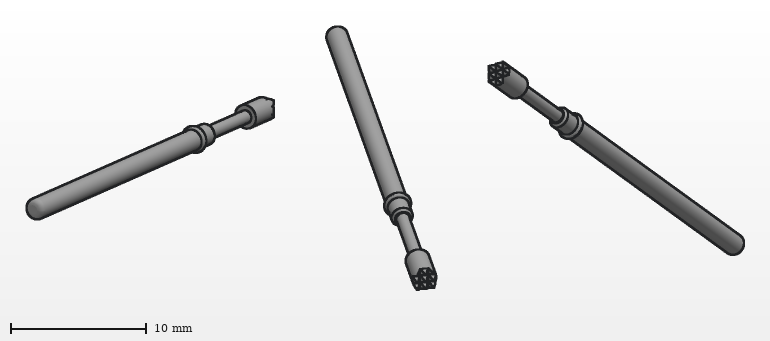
import cadquery as cq

total_length = 32.3

barrel_radius = 0.8
barrel_length = 24.03
barrel_end_rounding = 0.45
shoulder_chamfer = 0.23

ring_radius = 1.017
ring_width = 0.52
ring_center = 22.22

plunger_radius = 0.5
head_radius = 0.9
head_length = 2.97

teeth_per_row = 3
tooth_pitch = 0.6
tooth_depth = 0.55


def rod(radius, start, end):
    """Round rod along Y from start to end."""
    return cq.Workplane("XZ", origin=(0, start, 0)).circle(radius).extrude(start - end)


def make_barrel():
    """Barrel with a rounded closed end and a chamfered mouth."""
    barrel = rod(barrel_radius, 0, barrel_length)
    barrel = barrel.faces("<Y").edges().fillet(barrel_end_rounding)
    return barrel.faces(">Y").edges().chamfer(shoulder_chamfer)


def make_press_ring():
    """Torus with a circular section, sunk into the barrel so that a rounded bead stands out."""
    bead_radius = ring_width / 2
    return (
        cq.Workplane("YZ")
        .center(ring_center, ring_radius - bead_radius)
        .circle(bead_radius)
        .revolve(360, (0, bead_radius - ring_radius), (1, bead_radius - ring_radius))
    )


def make_plunger():
    """Plunger shaft rising from the barrel mouth, with the head on its end."""
    head_start = total_length - head_length
    shaft = rod(plunger_radius, barrel_length, head_start)
    return shaft.union(rod(head_radius, head_start, total_length))


def cut_crown_teeth(body):
    """Cut V grooves across the head in both directions, one on each side of every tooth row."""
    half_pitch = tooth_pitch / 2
    for index in range(teeth_per_row + 1):
        valley = (index - teeth_per_row / 2) * tooth_pitch
        groove = (
            cq.Workplane("XY")
            .moveTo(valley - half_pitch, total_length)
            .lineTo(valley, total_length - tooth_depth)
            .lineTo(valley + half_pitch, total_length)
            .close()
            .extrude(2 * head_radius, both=True)
        )
        crossing_groove = groove.rotate((0, 0, 0), (0, 1, 0), 90)
        body = body.cut(groove).cut(crossing_groove)
    return body


blank = make_barrel().union(make_press_ring()).union(make_plunger())
result = cut_crown_teeth(blank)